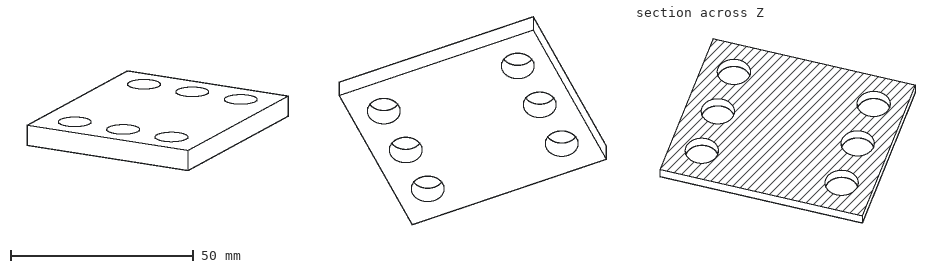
import cadquery as cq

width = 50.0
length = 58
thickness = 5.8

hole_diameter = 9.0
holes_per_row = 3
row_count = 2
hole_pitch = 15.0
row_spacing = 40

plate = cq.Workplane("XY").box(width, length, thickness)

result = (
    plate.faces(">Z")
    .workplane()
    .rarray(hole_pitch, row_spacing, holes_per_row, row_count)
    .hole(hole_diameter)
)